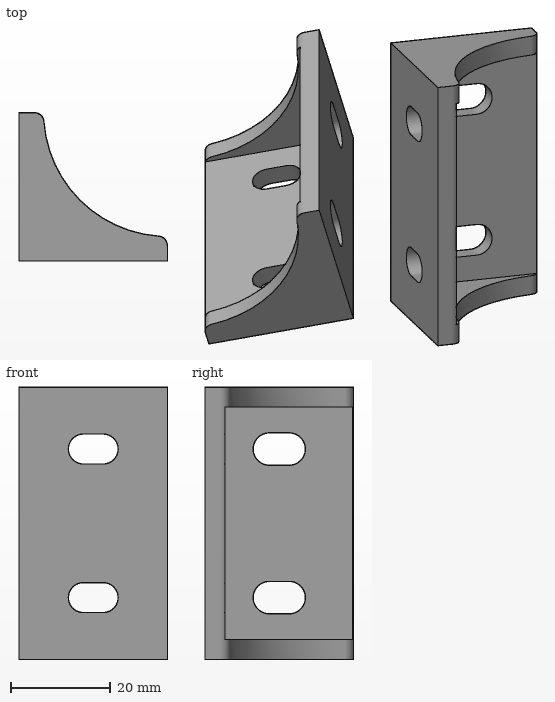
import cadquery as cq
import math

leg = 30.0
height = 55.0
leg_end_thickness = 5.0
tip_fillet = 2.0
plate = 4.0
gusset = 4.0

slot_straight = 4.0
front_slot_width = 6.0
side_slot_width = 6.5
slot_spacing = 30.0

arc_radius = leg - leg_end_thickness
arc_middle = leg - arc_radius * math.cos(math.radians(45))
plate_middle = leg / 2
slot_heights = [height / 2 - slot_spacing / 2, height / 2 + slot_spacing / 2]


def make_body():
    """Solid angle block with a concave inner face and rounded leg tips."""
    block = (
        cq.Workplane("XY")
        .lineTo(leg, 0)
        .lineTo(leg, leg_end_thickness)
        .threePointArc((arc_middle, arc_middle), (leg_end_thickness, leg))
        .lineTo(0, leg)
        .close()
        .extrude(height)
    )
    for tip in [(leg, leg_end_thickness), (leg_end_thickness, leg)]:
        tip_edge = cq.selectors.NearestToPointSelector((*tip, height / 2))
        block = block.edges(tip_edge).fillet(tip_fillet)
    return block


def make_cavity():
    """Space between the two plates and the two end gussets, open at the concave side."""
    cavity_height = height - 2 * gusset
    return cq.Workplane("XY").box(leg, leg, cavity_height, centered=False).translate((plate, plate, gusset))


def make_slot(width):
    """Slot cutter with its long axis along X, running from the origin through a plate along +Y."""
    return cq.Workplane("XZ").slot2D(slot_straight + width, width).extrude(-plate)


result = make_body().cut(make_cavity())
for slot_height in slot_heights:
    front_slot = make_slot(front_slot_width).translate((plate_middle, 0, slot_height))
    side_slot = (
        make_slot(side_slot_width)
        .rotate((0, 0, 0), (0, 0, 1), -90)
        .translate((0, plate_middle, slot_height))
    )
    result = result.cut(front_slot).cut(side_slot)